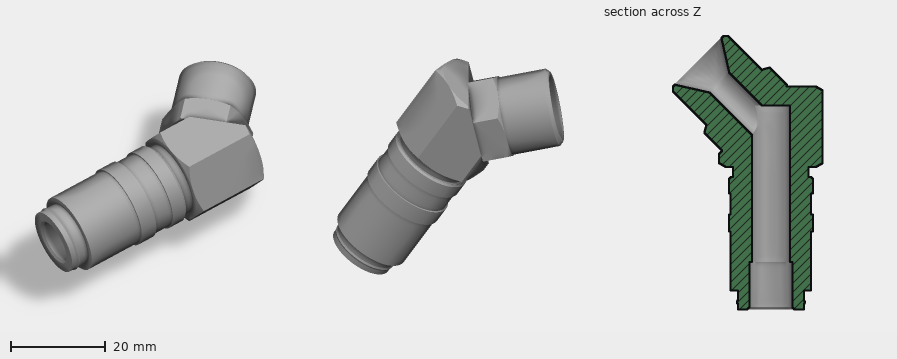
import cadquery as cq
import math

arm_angle = 45
elbow_y = 37.0
hex_chamfer_angle = 30

tip_radius = 7.05
tip_end = 4.0
seal_radius = 7.3
seal_start = 1.15
seal_crest = 1.55
seal_end = 1.95
sleeve_radius = 8.55
collar_radius = 8.95
front_collar_start = 16.45
front_collar_end = 20.15
rear_collar_start = 24.4
rear_collar_end = 28.0
collar_chamfer = 0.45
neck_radius = 8.0

body_start = 30.0
body_length = 17.1
body_flats = 19.0

arm_seat = 4.85
nut_end = 10.9
nut_flats = 17.0
arm_end = 21.75
arm_radius = 8.3
arm_chamfer = 0.75

mouth_radius = 4.95
mouth_chamfer = 0.45
socket_depth = 10.0
bore_radius = 4.0
bore_end = 43.0
arm_bore_radius = 2.9
cone_radius = 6.9
cone_depth = 6.4


def along_y(shape, start):
    """Turn a shape built along +Z so that it runs along +Y from the given place."""
    return shape.rotate((0, 0, 0), (1, 0, 0), -90).translate((0, start, 0))


def along_arm(shape):
    """Place a shape built along +Z on the arm axis, with its origin at the elbow centre."""
    return along_y(shape, 0).rotate((0, 0, 0), (0, 0, 1), arm_angle).translate((0, elbow_y, 0))


def cylinder(radius, start, end):
    return cq.Workplane("XY").workplane(offset=start).circle(radius).extrude(end - start)


def cone(start_radius, end_radius, start, end):
    outline = [(0, start), (start_radius, start), (end_radius, end), (0, end)]
    return cq.Workplane("XZ").polyline(outline).close().revolve(360, (0, 0, 0), (0, 1, 0))


def chamfered_hexagon(flats, length, chamfer_both_ends):
    """Hexagonal prism with corners on X, its ends turned down to the inscribed circle."""
    flat_radius = flats / 2
    corner_radius = flat_radius / math.cos(math.pi / 6)
    drop = (corner_radius - flat_radius) * math.tan(math.radians(hex_chamfer_angle))
    prism = cq.Workplane("XY").polygon(6, 2 * corner_radius).extrude(length)
    outline = [(0, 0)]
    if chamfer_both_ends:
        outline += [(flat_radius, 0), (corner_radius, drop)]
    else:
        outline += [(corner_radius, 0)]
    outline += [(corner_radius, length - drop), (flat_radius, length), (0, length)]
    envelope = cq.Workplane("XZ").polyline(outline).close().revolve(360, (0, 0, 0), (0, 1, 0))
    return prism.intersect(envelope)


def make_plug():
    plug = cylinder(tip_radius, 0, tip_end)
    plug = plug.union(cone(tip_radius, seal_radius, seal_start, seal_crest))
    plug = plug.union(cone(seal_radius, tip_radius, seal_crest, seal_end))
    plug = plug.union(cylinder(sleeve_radius, tip_end, rear_collar_end))
    plug = plug.union(cylinder(collar_radius, front_collar_start, front_collar_end))
    rear_collar = cylinder(collar_radius, rear_collar_start, rear_collar_end)
    plug = plug.union(rear_collar.faces(">Z").chamfer(collar_chamfer))
    plug = plug.union(cylinder(neck_radius, rear_collar_end, body_start))
    return along_y(plug, 0)


def make_body():
    body = along_y(chamfered_hexagon(body_flats, body_length, True), body_start)
    cutter_size = 3 * body_flats
    beyond_seat = cq.Workplane("XY").rect(cutter_size, cutter_size).extrude(cutter_size)
    beyond_seat = beyond_seat.translate((0, 0, arm_seat))
    return body.cut(along_arm(beyond_seat))


def make_arm():
    nut = chamfered_hexagon(nut_flats, nut_end - arm_seat, False).translate((0, 0, arm_seat))
    spigot = cylinder(arm_radius, arm_seat, arm_end).faces(">Z").chamfer(arm_chamfer)
    return along_arm(nut.union(spigot))


def make_passages():
    socket_radius = mouth_radius - mouth_chamfer
    plug_bore = cylinder(socket_radius, 0, socket_depth)
    plug_bore = plug_bore.union(cylinder(bore_radius, 0, bore_end))
    plug_bore = plug_bore.union(cone(mouth_radius, socket_radius, 0, mouth_chamfer))
    arm_bore = cylinder(arm_bore_radius, 0, arm_end)
    arm_bore = arm_bore.union(cone(arm_bore_radius, cone_radius, arm_end - cone_depth, arm_end))
    return along_y(plug_bore, 0).union(along_arm(arm_bore))


result = make_plug().union(make_body()).union(make_arm()).cut(make_passages())